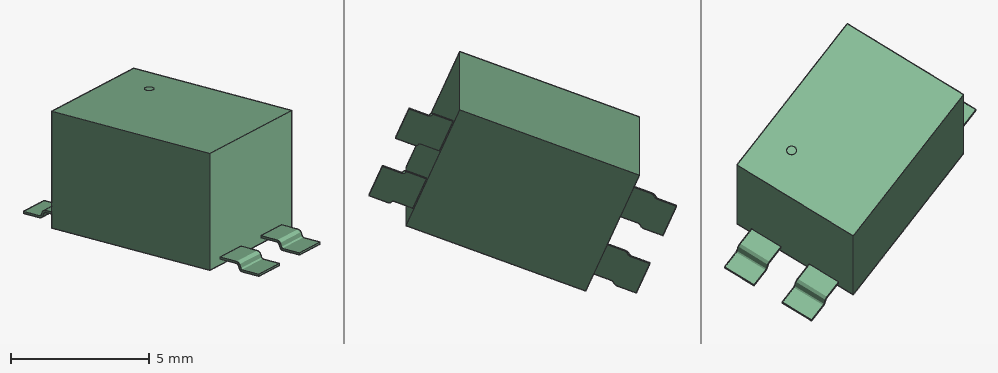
import cadquery as cq
import math

overall_length = 10.46
overall_height = 4.6

housing_length = 7.03
housing_width = 5.11
standoff = 0.04

lead_thickness = 0.08
lead_width = 1.3
lead_pitch = 2.53
lead_top = 0.36
foot_length = 0.77
riser_angle = 70.0
shoulder_outer_radius = 0.19
heel_inner_radius = 0.08

marker_diameter = 0.36
marker_depth = 0.1
marker_x = -1.9
marker_y = lead_pitch / 2


def make_marker():
    return (
        cq.Workplane("XY", origin=(marker_x, marker_y, overall_height - marker_depth))
        .circle(marker_diameter / 2)
        .extrude(marker_depth)
    )


def make_housing():
    block = cq.Workplane("XY", origin=(0, 0, standoff)).box(
        housing_length, housing_width, overall_height - standoff, centered=(True, True, False)
    )
    return block.cut(make_marker())


def make_left_lead(center_y):
    """Bent strip from its tip at -X to the housing wall, with rounded bends."""
    tip_x = -overall_length / 2
    wall_x = -housing_length / 2
    angle = math.radians(riser_angle)
    riser_run = (lead_top - lead_thickness) / math.tan(angle)
    corner_shift = lead_thickness * math.tan(angle / 2)

    heel_inner = (tip_x + foot_length, lead_thickness)
    shoulder_outer = (heel_inner[0] + riser_run, lead_top)
    heel_outer = (heel_inner[0] + corner_shift, 0)
    shoulder_inner = (shoulder_outer[0] + corner_shift, lead_top - lead_thickness)

    lead = (
        cq.Workplane("XZ", origin=(0, center_y, 0))
        .polyline([
            (tip_x, 0),
            (tip_x, lead_thickness),
            heel_inner,
            shoulder_outer,
            (wall_x, lead_top),
            (wall_x, lead_top - lead_thickness),
            shoulder_inner,
            heel_outer,
        ])
        .close()
        .extrude(lead_width / 2, both=True)
    )

    bends = [
        (heel_inner, heel_inner_radius),
        (heel_outer, heel_inner_radius + lead_thickness),
        (shoulder_outer, shoulder_outer_radius),
        (shoulder_inner, shoulder_outer_radius - lead_thickness),
    ]
    for (corner_x, corner_z), radius in bends:
        corner_edge = cq.selectors.NearestToPointSelector((corner_x, center_y, corner_z))
        lead = lead.edges("|Y").edges(corner_edge).fillet(radius)
    return lead


housing = make_housing()
marker = make_marker()

leads = []
for center_y in (-lead_pitch / 2, lead_pitch / 2):
    left_lead = make_left_lead(center_y)
    leads.append(left_lead.val())
    leads.append(left_lead.mirror("YZ").val())

result = cq.Compound.makeCompound([housing.val(), marker.val(), *leads])